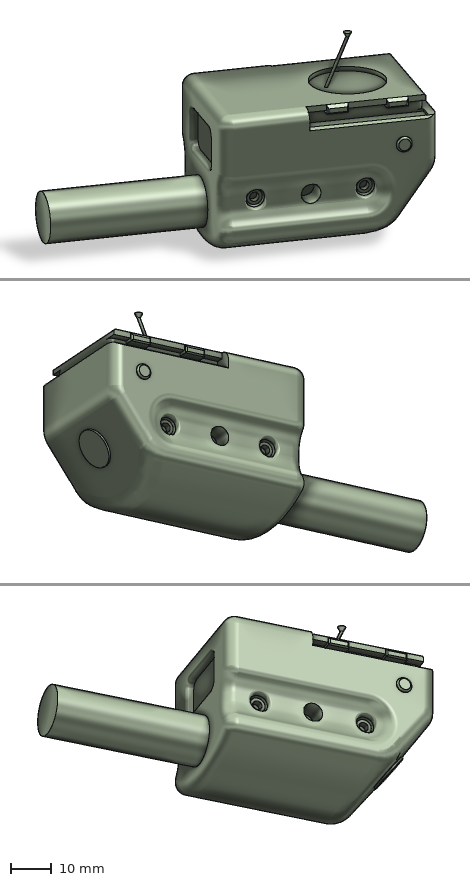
import cadquery as cq
import math

body_width = 36.0
body_length = 55.3
body_height = 38.2
edge_radius = 3.15
bottom_radius = 30.5
half_width = body_width / 2

overlap = 1.0
pick_slack = 0.1

slant_angle = 53.5
slant_foot_y = 40.4
slant_top_radius = 5.7
slant_foot_radius = 6.2
wall_foot_z = bottom_radius - math.sqrt(bottom_radius**2 - half_width**2)
slant_top_z = (body_length - slant_foot_y) * math.tan(math.radians(slant_angle))

cable_diameter = 13.0
cable_length = 40.1
cable_z = 10.7

pad_diameter = 10.1
pad_thickness = 0.6
pad_along_slant = 15.7

grip_z = 15.6
grip_end_y = 37.8
grip_depth = 2.4
grip_floor_half = 1.3
grip_flank_half = 5.6
grip_lip_half = 7.3
grip_clearance = 4.8

screw_y = (9.7, grip_end_y)
screw_bore_diameter = 4.9
screw_bore_depth = 1.4
screw_rim_radius = 0.7
screw_seat_diameter = 4.0
screw_seat_drop = 0.5
screw_hole_diameter = 2.4
screw_hole_depth = 1.9
locating_y = 23.7
locating_diameter = 5.0
locating_depth = 5.7

stud_y = 46.65
stud_z = 27.0
stud_diameter = 4.0
stud_chamfer = 0.5
stud_height = 0.7

window_width = 19.5
window_height = 12.7
window_z = 26.8
window_corner = 3.15
window_rim_radius = 1.0
window_depth = 2.1

lid_half_width = 14.9
lid_front_y = 22.6
lid_back_y = 53.1
lid_thickness = 1.5
lid_edge_radius = 0.6
block_half_width = 12.7
block_corner_radius = 1.4
shelf_z = 33.0
lip_height = 0.6
lip_peak_x = 17.1
lip_inner_x = 16.5
ridge_back_y = 52.8
ridge_front_y = 48.9
ridge_top_back_y = 51.3
ridge_top_front_y = 50.3

clip_y = (30.5, 45.8)
clip_length = 5.4
clip_height = 2.4
clip_reach = 0.8
clip_top_slope_drop = 0.9
clip_edge_chamfer = 0.4

seat_diameter = 19.2
seat_y = 37.6
seat_depth = 1.1
pin_diameter = 0.75
pin_foot_y = 32.15
pin_head_diameter = 2.0
pin_head_height = 1.1
pin_top_z = 50.8


def box_between(x_range, y_range, z_range):
    (x0, x1), (y0, y1), (z0, z1) = x_range, y_range, z_range
    return cq.Workplane("XY").box(x1 - x0, y1 - y0, z1 - z0, centered=False).translate((x0, y0, z0))


def mirrored_pair(shape):
    return shape.union(shape.mirror("YZ"))


def build_body():
    """Body with its slanted rear corner, rounded everywhere but on the front face."""
    section = (
        cq.Workplane("XZ")
        .moveTo(-half_width, body_height)
        .lineTo(-half_width, wall_foot_z)
        .threePointArc((0, 0), (half_width, wall_foot_z))
        .lineTo(half_width, body_height)
        .close()
        .extrude(-body_length)
    )
    wedge = (
        cq.Workplane("YZ")
        .moveTo(slant_foot_y, 0)
        .lineTo(body_length, slant_top_z)
        .lineTo(body_length, 0)
        .close()
        .extrude(half_width, both=True)
    )
    body = section.cut(wedge)

    slant_slope = slant_top_z / (body_length - slant_foot_y)
    wall_foot_y = slant_foot_y + wall_foot_z / slant_slope
    slant_foot = cq.selectors.BoxSelector(
        (-half_width, slant_foot_y, 0), (half_width, wall_foot_y, wall_foot_z)
    )
    slant_top = cq.selectors.BoxSelector(
        (-half_width, body_length - pick_slack, slant_top_z - pick_slack),
        (half_width, body_length + pick_slack, slant_top_z + pick_slack),
    )
    body = body.edges(slant_top).fillet(slant_top_radius)
    body = body.edges(slant_foot).fillet(slant_foot_radius)
    return body.edges("|Y or >Y").fillet(edge_radius)


def grip_cutter():
    """Finger recess for the -X wall: a run along Y that ends in a half dish."""
    flank_rise = grip_lip_half - grip_floor_half
    tilt = 2 * math.atan(grip_depth / flank_rise)
    lip_radius = (grip_lip_half - grip_flank_half) / math.sin(tilt)
    flank_radius = (grip_flank_half - grip_floor_half) / math.sin(tilt)

    def flank_point(angle):
        rise = flank_radius * (1 - math.cos(angle))
        return (grip_floor_half + flank_radius * math.sin(angle), rise - grip_depth)

    def lip_point(angle):
        drop = lip_radius * (1 - math.cos(angle))
        return (grip_lip_half - lip_radius * math.sin(angle), -drop)

    half_profile = (
        cq.Workplane("XY")
        .moveTo(0, -grip_depth)
        .lineTo(grip_floor_half, -grip_depth)
        .threePointArc(flank_point(tilt / 2), flank_point(tilt))
        .threePointArc(lip_point(tilt / 2), (grip_lip_half, 0))
        .lineTo(grip_lip_half, grip_clearance)
        .lineTo(0, grip_clearance)
        .close()
    )
    dish = half_profile.revolve(360, (0, 0, 0), (0, 1, 0))
    run = mirrored_pair(half_profile.toPending().extrude(grip_end_y + grip_clearance))
    wall_plane = cq.Plane(origin=(-half_width, grip_end_y, grip_z), xDir=(0, 0, 1), normal=(0, -1, 0))
    return dish.union(run).val().moved(cq.Location(wall_plane))


def add_grips(body):
    cutter = cq.Workplane(grip_cutter())
    return body.cut(mirrored_pair(cutter)).faces("<Y").edges().fillet(edge_radius)


def side_hole(y, diameter, depth):
    """Pair of blind holes bored inward from the recess floors."""
    hole = (
        cq.Workplane("YZ", origin=(-half_width, y, grip_z))
        .circle(diameter / 2)
        .extrude(grip_depth + depth)
    )
    return mirrored_pair(hole)


def screw_socket(y):
    """Pair of tapered seats with a small hole, at the bottom of the screw bores."""
    bore_end_x = -half_width + grip_depth + screw_bore_depth
    seat = (
        cq.Workplane("YZ", origin=(bore_end_x, y, grip_z))
        .circle(screw_bore_diameter / 2)
        .workplane(offset=screw_seat_drop)
        .circle(screw_seat_diameter / 2)
        .loft()
    )
    hole = (
        cq.Workplane("YZ", origin=(bore_end_x, y, grip_z))
        .circle(screw_hole_diameter / 2)
        .extrude(screw_seat_drop + screw_hole_depth)
    )
    return mirrored_pair(seat.union(hole))


def add_side_holes(body):
    body = body.cut(side_hole(locating_y, locating_diameter, locating_depth))
    rim_reach = screw_bore_diameter / 2 + pick_slack
    rim_x = half_width - grip_depth - pick_slack
    for y in screw_y:
        body = body.cut(side_hole(y, screw_bore_diameter, screw_bore_depth))
        for x0, x1 in ((-half_width, -rim_x), (rim_x, half_width)):
            rim = cq.selectors.BoxSelector(
                (x0, y - rim_reach, grip_z - rim_reach),
                (x1, y + rim_reach, grip_z + rim_reach),
                boundingbox=True,
            )
            body = body.edges(rim).fillet(screw_rim_radius)
        body = body.cut(screw_socket(y))
    return body


def add_studs(body):
    stud = (
        cq.Workplane("YZ", origin=(-half_width + overlap, stud_y, stud_z))
        .circle(stud_diameter / 2)
        .extrude(-overlap - stud_height)
        .faces("<X")
        .chamfer(stud_chamfer)
    )
    return body.union(mirrored_pair(stud))


def cut_window(body):
    """Rounded window in the front face with a rounded rim."""
    opening_width = window_width - 2 * window_rim_radius
    opening_height = window_height - 2 * window_rim_radius
    opening = (
        cq.Workplane("XZ", origin=(0, 0, window_z))
        .rect(opening_width, opening_height)
        .extrude(-window_depth)
        .edges("|Y")
        .fillet(window_corner - window_rim_radius)
    )
    rim = cq.selectors.BoxSelector(
        (-window_width / 2, -pick_slack, window_z - window_height / 2),
        (window_width / 2, pick_slack, window_z + window_height / 2),
    )
    return body.cut(opening).edges(rim).fillet(window_rim_radius)


def cut_shelf(body):
    """Clear the rear top down to the lip and sink the two side shelves below it."""
    lip_z = shelf_z + lip_height
    body = body.cut(
        box_between((-half_width, half_width), (lid_front_y, body_length), (lip_z, body_height))
    )
    shelf = (
        cq.Workplane("XZ", origin=(0, lid_front_y, 0))
        .moveTo(-lip_peak_x, lip_z)
        .lineTo(-lip_inner_x, shelf_z)
        .lineTo(-block_half_width, shelf_z)
        .lineTo(-block_half_width, lip_z)
        .close()
        .extrude(lid_front_y - lid_back_y)
    )
    outer_bevel = (
        cq.Workplane("XZ", origin=(0, lid_front_y, 0))
        .moveTo(-half_width, shelf_z)
        .lineTo(-half_width, lip_z)
        .lineTo(-lip_peak_x, lip_z)
        .close()
        .extrude(lid_front_y - body_length)
    )
    return body.cut(mirrored_pair(shelf)).cut(mirrored_pair(outer_bevel))


def add_lid(body):
    underside_z = body_height - lid_thickness
    plate = box_between(
        (-lid_half_width, lid_half_width), (lid_front_y, lid_back_y), (underside_z, body_height)
    )
    plate = plate.edges(">Y and >Z").fillet(lid_edge_radius)
    block = box_between(
        (-block_half_width, block_half_width), (lid_front_y, lid_back_y), (shelf_z, underside_z)
    )
    block = block.edges(">Y and |Z").fillet(block_corner_radius)
    return body.union(block).union(plate)


def add_corner_ridge(body):
    """Low ridge across the shelf in the rear -X corner."""
    ridge = (
        cq.Workplane("YZ", origin=(-lip_peak_x, 0, 0))
        .moveTo(ridge_front_y, shelf_z)
        .lineTo(ridge_top_front_y, shelf_z + lip_height)
        .lineTo(ridge_top_back_y, shelf_z + lip_height)
        .lineTo(ridge_back_y, shelf_z)
        .close()
        .extrude(lip_peak_x - block_half_width)
    )
    return body.union(ridge)


def add_clips(body):
    """Clips that hang on the lid edges, with a sloped top and bevelled outer edges."""
    clip_x = -lid_half_width - clip_reach
    slope_foot_z = body_height - clip_top_slope_drop
    bottom_z = body_height - clip_height
    for y in clip_y:
        clip = (
            cq.Workplane("XZ", origin=(0, y, 0))
            .moveTo(-lid_half_width, body_height)
            .lineTo(clip_x, slope_foot_z)
            .lineTo(clip_x, bottom_z + clip_edge_chamfer)
            .lineTo(clip_x + clip_edge_chamfer, bottom_z)
            .lineTo(-block_half_width, bottom_z)
            .lineTo(-block_half_width, slope_foot_z)
            .lineTo(-lid_half_width, slope_foot_z)
            .close()
            .extrude(clip_length / 2, both=True)
        )
        clip = clip.edges("|Z and <X").chamfer(clip_edge_chamfer)
        body = body.union(mirrored_pair(clip))
    return body


def add_seat_and_pin(body):
    seat_z = body_height - seat_depth
    seat = cq.Workplane("XY", origin=(0, seat_y, seat_z)).circle(seat_diameter / 2).extrude(seat_depth)

    head_base_z = pin_top_z - pin_head_height
    head = (
        cq.Workplane("XY", origin=(0, seat_y, head_base_z))
        .circle(pin_diameter / 2)
        .workplane(offset=pin_head_height)
        .circle(pin_head_diameter / 2)
        .loft()
    )
    lean = cq.Vector(0, seat_y - pin_foot_y, head_base_z - seat_z)
    shank_start = cq.Vector(0, pin_foot_y, seat_z) - lean.normalized() * pin_diameter
    shank_length = lean.Length + pin_diameter + pin_head_height / 3
    shank = cq.Solid.makeCylinder(pin_diameter / 2, shank_length, shank_start, lean)
    return body.cut(seat).union(head).union(cq.Workplane(shank))


def add_cable(body):
    cable = (
        cq.Workplane("XZ", origin=(0, overlap, cable_z))
        .circle(cable_diameter / 2)
        .extrude(cable_length + overlap)
    )
    return body.union(cable)


def add_slant_pad(body):
    angle = math.radians(slant_angle)
    along = cq.Vector(0, math.cos(angle), math.sin(angle))
    outward = cq.Vector(0, math.sin(angle), -math.cos(angle))
    centre = cq.Vector(0, slant_foot_y, 0) + along * pad_along_slant
    pad = cq.Solid.makeCylinder(
        pad_diameter / 2, overlap + pad_thickness, centre - outward * overlap, outward
    )
    return body.union(cq.Workplane(pad))


result = build_body()
for add_feature in (
    add_grips,
    add_side_holes,
    add_studs,
    cut_window,
    cut_shelf,
    add_lid,
    add_corner_ridge,
    add_clips,
    add_seat_and_pin,
    add_cable,
    add_slant_pad,
):
    result = add_feature(result)